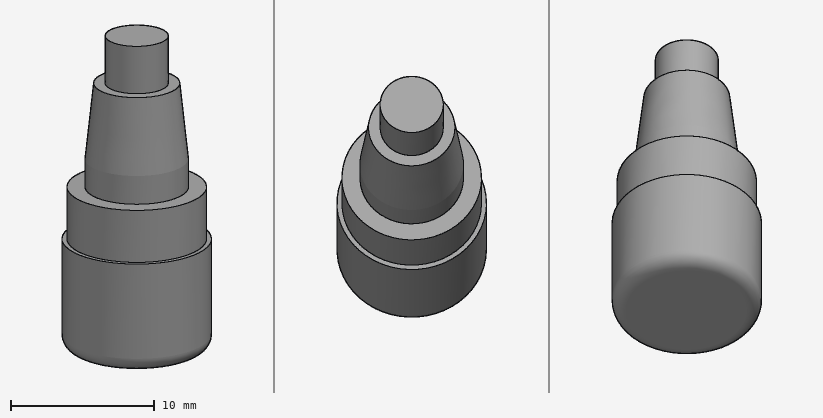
import cadquery as cq

sleeve_top = 8.0
collar_top = 11.85
boot_straight_top = 13.92
boot_top = 19.5
stem_top = 23.0

sleeve_diameter = 10.4
collar_diameter = 9.7
boot_diameter = 7.2
boot_tip_diameter = 6.0
stem_diameter = 4.4

sleeve_edge_radius = 1.0


def make_sleeve():
    """Outer sleeve with a rounded bottom edge and a flat top."""
    sleeve_body = cq.Workplane("XY").circle(sleeve_diameter / 2).extrude(sleeve_top)
    return sleeve_body.faces("<Z").edges().fillet(sleeve_edge_radius)


def make_core():
    """Collar, tapered boot and stem, turned as one body that stands on the sleeve."""
    return (
        cq.Workplane("XZ")
        .moveTo(0, sleeve_top)
        .lineTo(collar_diameter / 2, sleeve_top)
        .lineTo(collar_diameter / 2, collar_top)
        .lineTo(boot_diameter / 2, collar_top)
        .lineTo(boot_diameter / 2, boot_straight_top)
        .lineTo(boot_tip_diameter / 2, boot_top)
        .lineTo(stem_diameter / 2, boot_top)
        .lineTo(stem_diameter / 2, stem_top)
        .lineTo(0, stem_top)
        .close()
        .revolve(360, (0, 0, 0), (0, 1, 0))
    )


sleeve = make_sleeve()
core = make_core()
result = cq.Compound.makeCompound([sleeve.val(), core.val()])